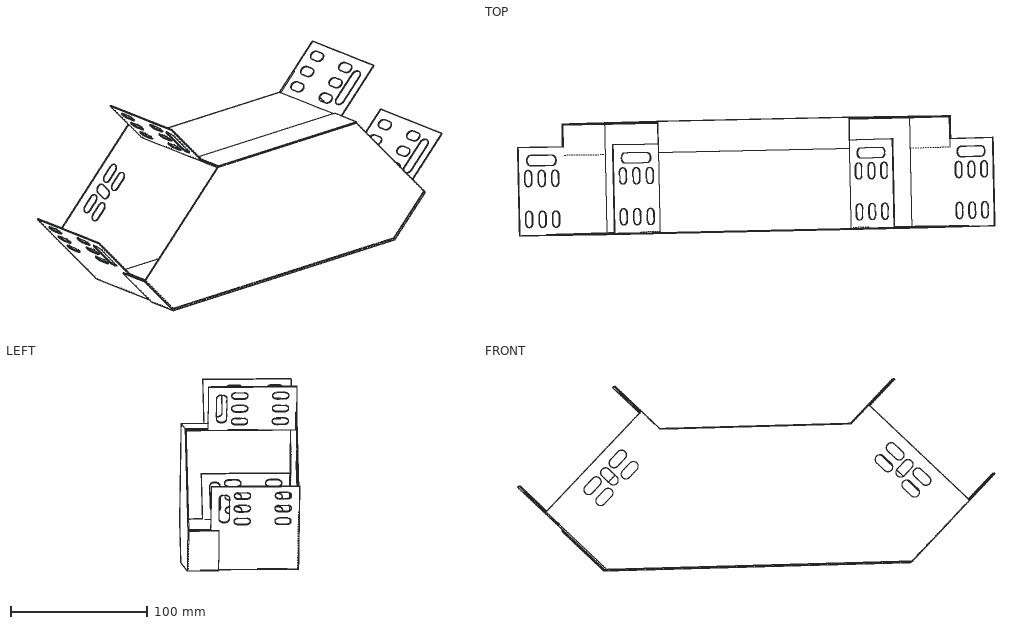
import cadquery as cq
import math


THICKNESS = 0.8
DUCT_WIDTH = 101.8
DUCT_DEPTH = 81.75
INNER_LENGTH = 140.1
LEG_LENGTH = 19.1
TAB_LENGTH = 26.6
CHANNEL_WALL = 65.0
COVER_WALL = 23.0

PLATE_SLOT_LENGTH = 15.0
PLATE_SLOT_WIDTH = 7.0
PLATE_SLOT_SETBACKS = (11.6, 23.6)
PLATE_SLOT_SPACING = 27.0
CROSS_SLOT_SETBACK = 16.0

TAB_SLOT_LENGTH = 12.0
TAB_SLOT_WIDTH = 7.0
TAB_SLOT_SETBACK = 9.5
TAB_SLOT_PITCH = 13.6
TAB_SLOT_COLUMNS = 3
TAB_SLOT_HEIGHTS = (12.0, 42.0)
LONG_SLOT_LENGTH = 29.5
LONG_SLOT_WIDTH = 7.5
LONG_SLOT_HEIGHT = 55.2

TILT_X = -0.4
TILT_Y = -1.57
TILT_Z = 1.23

BEND_DEGREES = 45
COS = math.cos(math.radians(BEND_DEGREES))
SIN = math.sin(math.radians(BEND_DEGREES))
MITRE = math.tan(math.radians(BEND_DEGREES / 2))
LAPPED_LEG_LENGTH = DUCT_WIDTH * MITRE
OUTER_LEG_LENGTH = LEG_LENGTH + LAPPED_LEG_LENGTH
INNER_BEND = (INNER_LENGTH / 2, DUCT_WIDTH)
OUTER_BEND = (INNER_LENGTH / 2 + LAPPED_LEG_LENGTH, 0)


def along_leg(start, distance):
    """Point a distance outward along the right leg."""
    return (start[0] + distance * COS, start[1] + distance * SIN)


def across_leg(start, distance):
    """Point a distance across the right leg, from its inner towards its outer wall."""
    return (start[0] + distance * SIN, start[1] - distance * COS)


def lowered_bend(bend, offset):
    """Bend point moved to a parallel sheet face that lies lower by the offset."""
    return (bend[0] + offset * MITRE, bend[1] - offset)


def symmetric_prism(right_half, y_start, y_end):
    """Extrude the outline made of a right half and its mirror image between two Y levels."""
    left_half = [(-x, z) for x, z in reversed(right_half)]
    sketch = cq.Workplane("XZ", origin=(0, y_start, 0)).polyline(right_half + left_half).close()
    return sketch.extrude(y_start - y_end)


def bent_wall(upper_bend, leg_length, y_start, y_end):
    """Wall of sheet thickness below the upper bend point, running up both legs."""
    tip = along_leg(upper_bend, leg_length)
    right_half = [
        upper_bend,
        tip,
        across_leg(tip, THICKNESS),
        lowered_bend(upper_bend, THICKNESS),
    ]
    return symmetric_prism(right_half, y_start, y_end)


def cut_both_legs(body, cutter):
    """Cut the right leg with a cutter and the left leg with its mirror image."""
    return body.cut(cutter).cut(cutter.mirror("YZ"))


PLATE_END_INNER = along_leg(INNER_BEND, LEG_LENGTH)


def plate_slots():
    """Four slots parallel to the end edge around one slot that runs along the leg."""
    edge_middle = across_leg(PLATE_END_INNER, DUCT_WIDTH / 2)
    frame = cq.Plane(
        origin=(edge_middle[0], 0, edge_middle[1]), xDir=(COS, 0, SIN), normal=(0, -1, 0)
    )
    half_spacing = PLATE_SLOT_SPACING / 2
    centres = [(-back, side) for back in PLATE_SLOT_SETBACKS for side in (-half_spacing, half_spacing)]
    slots = cq.Workplane(frame).pushPoints(centres)
    slots = slots.slot2D(PLATE_SLOT_LENGTH, PLATE_SLOT_WIDTH, 90).extrude(THICKNESS, both=True)
    cross = cq.Workplane(frame).center(-CROSS_SLOT_SETBACK, 0)
    cross = cross.slot2D(PLATE_SLOT_LENGTH, PLATE_SLOT_WIDTH).extrude(THICKNESS, both=True)
    return slots.union(cross)


def tab_slots(tip):
    """Two rows of three short slots and one long slot, through the tab that ends at the tip."""
    frame = cq.Plane(origin=(tip[0], 0, tip[1]), xDir=(-COS, 0, -SIN), normal=(SIN, 0, -COS))
    columns = [TAB_SLOT_SETBACK + i * TAB_SLOT_PITCH for i in range(TAB_SLOT_COLUMNS)]
    centres = [(back, height) for back in columns for height in TAB_SLOT_HEIGHTS]
    cut_depth = 2 * THICKNESS
    slots = cq.Workplane(frame).pushPoints(centres)
    slots = slots.slot2D(TAB_SLOT_LENGTH, TAB_SLOT_WIDTH, 90).extrude(cut_depth, both=True)
    long_slot = cq.Workplane(frame).center(TAB_SLOT_SETBACK + TAB_SLOT_PITCH, LONG_SLOT_HEIGHT)
    long_slot = long_slot.slot2D(LONG_SLOT_LENGTH, LONG_SLOT_WIDTH).extrude(cut_depth, both=True)
    return slots.union(long_slot)


def make_channel():
    """Slotted plate with an inner and an outer wall, whose ends run on as slotted tabs."""
    plate_end_outer = along_leg(OUTER_BEND, OUTER_LEG_LENGTH)
    plate_outline = [INNER_BEND, PLATE_END_INNER, plate_end_outer, OUTER_BEND]
    channel = symmetric_prism(plate_outline, 0, THICKNESS)

    outer_wall_bend = lowered_bend(OUTER_BEND, -THICKNESS)
    channel = channel.union(bent_wall(INNER_BEND, LEG_LENGTH + TAB_LENGTH, 0, CHANNEL_WALL))
    channel = channel.union(
        bent_wall(outer_wall_bend, OUTER_LEG_LENGTH + TAB_LENGTH, 0, CHANNEL_WALL)
    )

    full_height = DUCT_DEPTH - THICKNESS
    raised_inner = [INNER_BEND, lowered_bend(INNER_BEND, THICKNESS)]
    channel = channel.union(symmetric_prism(raised_inner, 0, full_height))
    channel = channel.union(bent_wall(outer_wall_bend, LAPPED_LEG_LENGTH, 0, full_height))

    channel = cut_both_legs(channel, plate_slots())
    for plate_corner in (PLATE_END_INNER, plate_end_outer):
        channel = cut_both_legs(channel, tab_slots(along_leg(plate_corner, TAB_LENGTH)))
    return channel


def make_cover():
    """Plate that ends square across the legs at the inner bends, with walls lapping the channel."""
    inner_corner = (INNER_BEND[0], INNER_BEND[1] + THICKNESS)
    end_outer = across_leg(INNER_BEND, DUCT_WIDTH + THICKNESS)
    outer_corner = lowered_bend(OUTER_BEND, THICKNESS)
    plate_outline = [inner_corner, INNER_BEND, end_outer, outer_corner]
    cover = symmetric_prism(plate_outline, DUCT_DEPTH - THICKNESS, DUCT_DEPTH)

    wall_start = DUCT_DEPTH - COVER_WALL
    inner_wall_outline = [inner_corner, INNER_BEND]
    inner_wall = symmetric_prism(inner_wall_outline, wall_start, DUCT_DEPTH)
    outer_wall = bent_wall(OUTER_BEND, LAPPED_LEG_LENGTH, wall_start, DUCT_DEPTH)
    return cover.union(inner_wall).union(outer_wall)


def tilt(body):
    """Turn a body from the upright position into the tilted one."""
    origin = (0, 0, 0)
    body = body.rotate(origin, (1, 0, 0), TILT_X)
    body = body.rotate(origin, (0, 1, 0), TILT_Y)
    return body.rotate(origin, (0, 0, 1), TILT_Z)


channel = tilt(make_channel())
cover = tilt(make_cover())
result = cq.Compound.makeCompound([channel.solids().val(), cover.solids().val()])